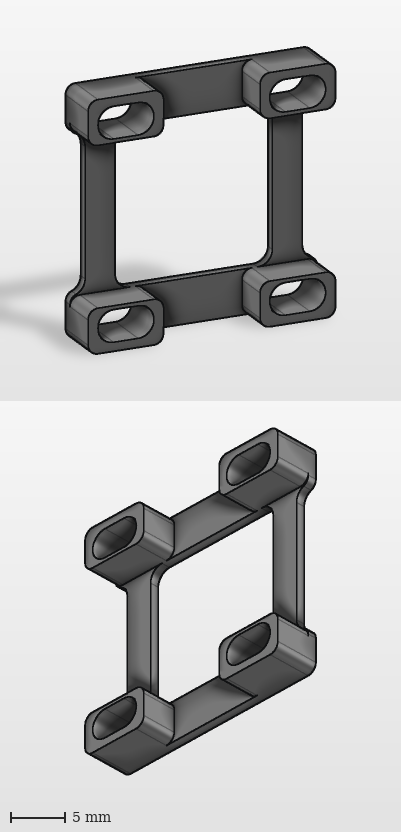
import cadquery as cq
import math

depth = 5.0
width = 25.2
height = 25.0

frame_thickness = 1.0
window_size = 16.0
window_radius = 1.49
leg_outer_width = 22.13

block_width = 7.7
block_height = (height - window_size) / 2
corner_radius = 1.0
slot_length = 5.7
slot_height = 3.2
slot_spacing_y = 17.5
slot_spacing_z = 20.0

shoulder_radius = window_radius
shoulder_inset = (width - leg_outer_width) / 2
radius_sum = corner_radius + shoulder_radius
shoulder_angle = math.acos(1 - shoulder_inset / radius_sum)
shoulder_drop = radius_sum * math.sin(shoulder_angle)
leg_half_length = window_size / 2 - window_radius


def make_notch(side):
    """Cutter that narrows the frame to its leg on one side (side = +1 or -1 along Y)."""
    leg_y = leg_outer_width / 2
    edge_y = width / 2
    edge_z = leg_half_length + shoulder_drop

    def concave_point(angle):
        return (
            leg_y + shoulder_radius * (1 - math.cos(angle)),
            leg_half_length + shoulder_radius * math.sin(angle),
        )

    def convex_point(angle):
        return (
            edge_y - corner_radius * (1 - math.cos(angle)),
            edge_z - corner_radius * math.sin(angle),
        )

    def place(point, end):
        return (side * point[0], end * point[1])

    concave_middle = concave_point(shoulder_angle / 2)
    tangent_point = concave_point(shoulder_angle)
    convex_middle = convex_point(shoulder_angle / 2)
    edge_point = (edge_y, edge_z)
    leg_point = (leg_y, leg_half_length)
    profile = (
        cq.Workplane("YZ")
        .moveTo(*place(edge_point, -1))
        .threePointArc(place(convex_middle, -1), place(tangent_point, -1))
        .threePointArc(place(concave_middle, -1), place(leg_point, -1))
        .lineTo(*place(leg_point, 1))
        .threePointArc(place(concave_middle, 1), place(tangent_point, 1))
        .threePointArc(place(convex_middle, 1), place(edge_point, 1))
        .close()
    )
    return profile.extrude(frame_thickness)


def make_frame():
    """Thin plate with rounded corners, a rounded window and a notch on each side."""
    plate = cq.Workplane("YZ").rect(width, height).extrude(frame_thickness)
    plate = plate.edges("|X").fillet(corner_radius)
    window = cq.Workplane("YZ").rect(window_size, window_size).extrude(frame_thickness)
    window = window.edges("|X").fillet(window_radius)
    return plate.cut(window).cut(make_notch(1)).cut(make_notch(-1))


def make_blocks():
    """Four rounded blocks standing on the back of the frame, flush with its corners."""
    return (
        cq.Workplane("YZ", origin=(frame_thickness, 0, 0))
        .rarray(width - block_width, height - block_height, 2, 2)
        .rect(block_width, block_height)
        .extrude(depth - frame_thickness)
        .edges("|X")
        .fillet(corner_radius)
    )


def make_slots():
    """Four slots running through the blocks and the frame."""
    return (
        cq.Workplane("YZ")
        .rarray(slot_spacing_y, slot_spacing_z, 2, 2)
        .slot2D(slot_length, slot_height)
        .extrude(depth)
    )


result = make_frame().union(make_blocks()).cut(make_slots())